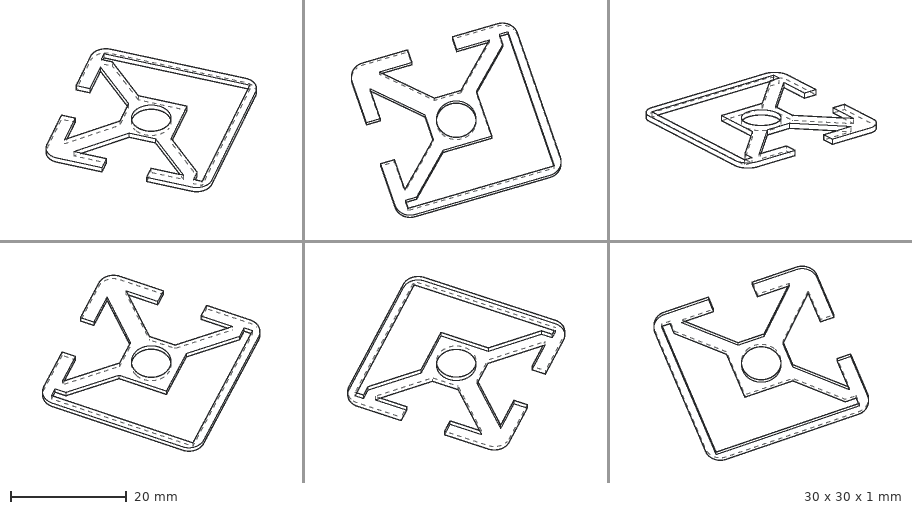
import cadquery as cq

side = 30.0
thickness = 1.0
corner_radius = 2.75
half = side / 2

core_half = 4.92
bore_diameter = 6.85

slot_opening = 8.1
lip_thickness = 2.52
arm_offset = 2.52

wall = 1.5
end_wall = 2.0
chamber_step = 11.95
chamber_arm_offset = 0.95


def mirror_diagonal(points):
    """Reflect points across the line y = x, reversing their order."""
    return [(y, x) for x, y in reversed(points)]


def prism(points):
    return cq.Workplane("XY").polyline(points).close().extrude(thickness)


def slot_outline():
    """T-slot entering from the -X side, narrowing towards the core."""
    lip_inside = -half + lip_thickness
    slot_half_width = -lip_inside - arm_offset
    root_half_width = core_half - arm_offset
    upper = [
        (-half, slot_opening / 2),
        (lip_inside, slot_opening / 2),
        (lip_inside, slot_half_width),
        (-core_half, root_half_width),
    ]
    return upper + [(x, -y) for x, y in reversed(upper)]


def chamber_outline():
    """L-shaped chamber wrapped around the core, symmetric about y = x."""
    inner_wall = half - wall
    chamber_end = -half + end_wall
    upper = [
        (core_half, core_half),
        (chamber_arm_offset - core_half, core_half),
        (chamber_arm_offset - chamber_step, chamber_step),
        (chamber_end, chamber_step),
        (chamber_end, inner_wall),
    ]
    outer_corner = [(inner_wall, inner_wall)]
    return upper + outer_corner + mirror_diagonal(upper[1:])


plate = cq.Workplane("XY").rect(side, side).extrude(thickness)
plate = plate.edges("|Z").fillet(corner_radius)
bore = cq.Workplane("XY").circle(bore_diameter / 2).extrude(thickness)

result = plate.cut(bore).cut(prism(chamber_outline()))
for outline in (slot_outline(), mirror_diagonal(slot_outline())):
    result = result.cut(prism(outline))